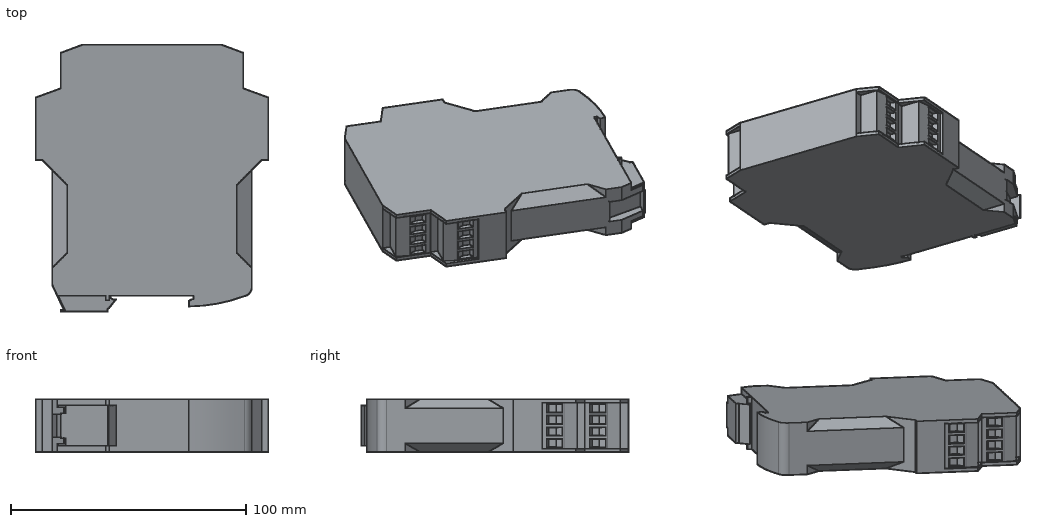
import cadquery as cq
import math

WIDTH = 99.0
LENGTH = 113.6
THICKNESS = 22.6
MID_Z = THICKNESS / 2
MARGIN = 5.0

HEAD_HALF = WIDTH / 2
CROWN_HALF = 38.85
CROWN_TOP_HALF = 29.5
CROWN_CORNER_Y = 110.1
NECK_Y = 95.0
HEAD_CORNER_Y = 91.1
SHOULDER_Y = 64.5
SHOULDER_HALF = 46.7
BODY_HALF = 42.5
BODY_TOP_Y = SHOULDER_Y - (SHOULDER_HALF - BODY_HALF)

GROOVE_DEPTH = 6.4
GROOVE_DROP = 3.9
GROOVE_BOTTOM_Y = 18.55

SEAT_Y = 6.7
SLANT_TOP_Y = 11.5
SLANT_ANGLE = math.radians(25)
HOOK_ROOT_X = 17.6
HOOK_TIP_X = 15.7
HOOK_BOTTOM_Y = 2.2
HOOK_LEDGE_Y = 5.4
HOOK_NOSE_Y = 4.6
HOOK_BLEND_X = 17.0
HOOK_ARC_RADIUS = 68.6
HOOK_ARC_END_X = 39.2
CORNER_RADIUS = 4.0
CORNER_TOP_Y = 10.5
CORNER_REACH = HOOK_ARC_END_X - (BODY_HALF - CORNER_RADIUS)
HOOK_ARC_END_Y = CORNER_TOP_Y - math.sqrt(CORNER_RADIUS**2 - CORNER_REACH**2)
NIB_X = (-19.6, -18.1)
NIB_DEPTH = 1.75

FOOT_THICKNESS = 17.2
FOOT_INSET = 0.4
FOOT_FLANGE = 0.8
FOOT_RIGHT_X = -18.85
FOOT_RIGHT_Y = 1.2
FOOT_FLARE = (-18.4, 1.4)
FOOT_TIP = (-15.2, 5.3)
FOOT_LEDGE_X = -16.6
FOOT_NECK = (-17.6, 5.9)
TONGUE_X = -38.7
TONGUE_HEIGHT = 0.8
TONGUE_WIDTH = 10.7

SLOT_WIDTH = 9.7
SLOT_MOUTH_Y = 16.75
SLOT_DEPTH = 2.1
SLOT_FLOOR_ANGLE = math.radians(20)

PLATE = 1.55
TERMINAL_SLOPE = math.radians(10)
TERMINAL_SLOPE_LENGTH = 5.6
CORE_STEP = 0.5
TERMINALS = (
    {
        "top": 110.1,
        "end": NECK_Y,
        "edge": CROWN_HALF,
        "setback": 0.1,
        "clear_top": LENGTH,
        "core": CROWN_TOP_HALF,
    },
    {
        "top": 91.7,
        "end": 76.8,
        "edge": HEAD_HALF,
        "setback": 1.4,
        "clear_top": NECK_Y,
        "core": CROWN_HALF - CORE_STEP,
    },
)

POCKET_COUNT = 4
POCKET_PITCH = 4.95
POCKET_WIDTH = 3.7
POCKET_FLOOR_WIDTH = 3.3
POCKET_LENGTH = 6.8
POCKET_OFFSET = 0.6
POCKET_DEPTH = 2.0
POCKET_RAMP = 2.7
POCKET_RAMP_ANGLE = math.radians(25)
POCKET_END_RUN = 1.0


def slab(points, width=THICKNESS):
    """Straight-sided plate of the given thickness, centred on the middle plane."""
    start = cq.Workplane("XY").workplane(offset=MID_Z - width / 2)
    return start.polyline(points).close().extrude(width)


def slant_x(y):
    """X of the slanted face at height y along the part."""
    return -BODY_HALF + (SLANT_TOP_Y - y) * math.tan(SLANT_ANGLE)


def housing():
    right = [
        (BODY_HALF, BODY_TOP_Y),
        (SHOULDER_HALF, SHOULDER_Y),
        (HEAD_HALF, SHOULDER_Y),
        (HEAD_HALF, HEAD_CORNER_Y),
        (CROWN_HALF, NECK_Y),
        (CROWN_HALF, CROWN_CORNER_Y),
        (CROWN_TOP_HALF, LENGTH),
    ]
    left = [(-x, y) for x, y in reversed(right)]
    outline = (
        cq.Workplane("XY")
        .moveTo(slant_x(SEAT_Y), SEAT_Y)
        .lineTo(HOOK_ROOT_X, SEAT_Y)
        .lineTo(HOOK_ROOT_X, HOOK_LEDGE_Y)
        .lineTo(HOOK_BLEND_X, HOOK_LEDGE_Y)
        .lineTo(HOOK_TIP_X, HOOK_NOSE_Y)
        .lineTo(HOOK_TIP_X, HOOK_BOTTOM_Y)
        .radiusArc((HOOK_ARC_END_X, HOOK_ARC_END_Y), -HOOK_ARC_RADIUS)
        .radiusArc((BODY_HALF, CORNER_TOP_Y), -CORNER_RADIUS)
        .polyline(right + left + [(-BODY_HALF, SLANT_TOP_Y)], includeCurrent=True)
        .close()
    )
    return outline.extrude(THICKNESS)


def groove():
    """Cutter for the sloping groove along the top edge of the -X side."""
    inner = BODY_HALF - GROOVE_DEPTH
    plan = slab([
        (-inner, BODY_TOP_Y - GROOVE_DEPTH),
        (-inner, GROOVE_BOTTOM_Y + GROOVE_DEPTH),
        (-BODY_HALF, GROOVE_BOTTOM_Y),
        (-BODY_HALF, BODY_TOP_Y),
    ])
    section = (
        cq.Workplane("XZ")
        .polyline([
            (-inner, THICKNESS),
            (-BODY_HALF, THICKNESS),
            (-BODY_HALF, THICKNESS - GROOVE_DROP),
        ])
        .close()
        .extrude(-LENGTH)
    )
    return plan.intersect(section)


def foot():
    """Rail foot: a flanged slab, a core flush with the slanted face and a pull tongue."""
    right_side = [
        (FOOT_RIGHT_X, 0),
        (FOOT_RIGHT_X, FOOT_RIGHT_Y),
        FOOT_FLARE,
        FOOT_TIP,
        (FOOT_LEDGE_X, FOOT_TIP[1]),
        FOOT_NECK,
        (FOOT_NECK[0], SEAT_Y),
    ]
    flanges = slab(
        right_side + [(slant_x(SEAT_Y) + FOOT_INSET, SEAT_Y), (slant_x(0) + FOOT_INSET, 0)],
        FOOT_THICKNESS,
    )
    core = slab(
        [
            (slant_x(SEAT_Y), SEAT_Y),
            (slant_x(TONGUE_HEIGHT), TONGUE_HEIGHT),
            (FOOT_RIGHT_X, TONGUE_HEIGHT),
            (FOOT_RIGHT_X, SEAT_Y),
        ],
        FOOT_THICKNESS - 2 * FOOT_FLANGE,
    )
    tongue = slab(
        [(TONGUE_X, 0), (FOOT_RIGHT_X, 0), (FOOT_RIGHT_X, TONGUE_HEIGHT), (TONGUE_X, TONGUE_HEIGHT)],
        TONGUE_WIDTH,
    )
    return flanges.union(core).union(tongue)


def nib():
    """Small stop below the seat, across the full thickness."""
    left, right = NIB_X
    bottom = SEAT_Y - NIB_DEPTH
    return slab([(left, SEAT_Y), (right, SEAT_Y), (right, bottom), (left, bottom)])


def tool_slot():
    """Cutter for the slot that runs down the slanted face to the tongue."""
    inner_x = -BODY_HALF + SLOT_DEPTH
    inner_y = SLOT_MOUTH_Y + SLOT_DEPTH
    floor_end_x = inner_x + (inner_y - TONGUE_HEIGHT) * math.tan(SLOT_FLOOR_ANGLE)
    return slab(
        [
            (-BODY_HALF, SLOT_MOUTH_Y),
            (inner_x, inner_y),
            (floor_end_x, TONGUE_HEIGHT),
            (-BODY_HALF, TONGUE_HEIGHT),
        ],
        SLOT_WIDTH,
    )


def terminal_recess(terminal):
    """Cutter between the side plates that leaves the terminal's face standing on the -X side."""
    outside = -terminal["edge"] - MARGIN
    face = -terminal["edge"] + terminal["setback"]
    top = terminal["top"]
    slope_rise = TERMINAL_SLOPE_LENGTH * math.tan(TERMINAL_SLOPE)
    return slab(
        [
            (outside, terminal["end"]),
            (face, terminal["end"]),
            (face, top - TERMINAL_SLOPE_LENGTH),
            (face + slope_rise, top),
            (-terminal["core"], top),
            (-terminal["core"], terminal["clear_top"]),
            (outside, terminal["clear_top"]),
        ],
        THICKNESS - 2 * PLATE,
    )


def wire_pockets(terminal):
    """Cutters for the row of ramped wire pockets in one terminal's face."""
    face = -terminal["edge"] + terminal["setback"]
    top = terminal["top"] - TERMINAL_SLOPE_LENGTH - POCKET_OFFSET
    bottom = top - POCKET_LENGTH
    floor = face + POCKET_DEPTH
    ramp_top = floor - POCKET_RAMP * math.tan(POCKET_RAMP_ANGLE)
    profile = slab([
        (face, top),
        (ramp_top, top),
        (floor, top - POCKET_RAMP),
        (floor, bottom + POCKET_END_RUN),
        (face, bottom),
    ])
    pockets = cq.Workplane("XY")
    for index in range(POCKET_COUNT):
        z = MID_Z + (index - (POCKET_COUNT - 1) / 2) * POCKET_PITCH
        funnel = (
            cq.Workplane("XZ")
            .polyline([
                (face, z - POCKET_WIDTH / 2),
                (face, z + POCKET_WIDTH / 2),
                (floor, z + POCKET_FLOOR_WIDTH / 2),
                (floor, z - POCKET_FLOOR_WIDTH / 2),
            ])
            .close()
            .extrude(-LENGTH)
        )
        pockets = pockets.add(profile.intersect(funnel))
    return pockets.combine()


def both_sides(cutter):
    """The cutter and its mirror image about X = 0."""
    return cutter, cutter.mirror("YZ")


result = housing().union(foot()).union(nib()).cut(tool_slot())

for upper in both_sides(groove()):
    lower = upper.mirror("XY", (0, 0, MID_Z))
    result = result.cut(upper).cut(lower)

for terminal in TERMINALS:
    for recess in both_sides(terminal_recess(terminal)):
        result = result.cut(recess)
    for pockets in both_sides(wire_pockets(terminal)):
        result = result.cut(pockets)